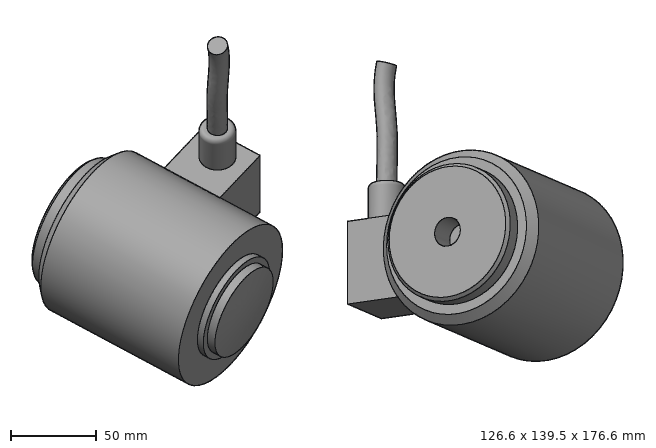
import cadquery as cq
import math

rear_boss_radius = 82.5 / 2
rear_boss_chamfer = 2.0
barrel_start = 10.6
barrel_end = 114.6
barrel_radius = 105.0 / 2
barrel_chamfer = 5.3
collar_radius = 66.8 / 2
collar_end = 118.9
button_radius = 58.6 / 2
button_rim = 124.3
dome_tip = 126.6
bore_radius = 17.3 / 2
bore_depth = 17.7

block_center_x = 53.9
block_length = 40.0
block_height = 50.0
block_inner_y = 46.0
block_outer_y = 139.5 - barrel_radius

gland_y = 72.0
gland_radius = 21.7 / 2
gland_height = 25.0
gland_fillet = 3.0
gland_base = block_height / 2
gland_top = gland_base + gland_height

cable_radius = 12.0 / 2
cable_end_tilt = math.radians(15.4)
cable_total_top = 176.6 - barrel_radius
cable_end_z = cable_total_top - cable_radius * math.sin(cable_end_tilt)
cable_bend_start_z = 84.5
cable_bend_peak_z = 107.5
cable_bend_offset = 1.8


def make_turned_body():
    """Revolve the stepped profile, including the domed load button."""
    dome_rise = dome_tip - button_rim
    dome_radius = (button_radius**2 + dome_rise**2) / (2 * dome_rise)
    dome_center_x = dome_tip - dome_radius
    dome_mid_r = button_radius / 2
    dome_mid_x = dome_center_x + math.sqrt(dome_radius**2 - dome_mid_r**2)
    return (
        cq.Workplane("XY")
        .lineTo(0, rear_boss_radius - rear_boss_chamfer)
        .lineTo(rear_boss_chamfer, rear_boss_radius)
        .lineTo(barrel_start, rear_boss_radius)
        .lineTo(barrel_start, barrel_radius - barrel_chamfer)
        .lineTo(barrel_start + barrel_chamfer, barrel_radius)
        .lineTo(barrel_end, barrel_radius)
        .lineTo(barrel_end, collar_radius)
        .lineTo(collar_end, collar_radius)
        .lineTo(collar_end, button_radius)
        .lineTo(button_rim, button_radius)
        .threePointArc((dome_mid_x, dome_mid_r), (dome_tip, 0))
        .close()
        .revolve(360, (0, 0, 0), (1, 0, 0))
    )


def make_block():
    """Box that sinks into the side of the barrel."""
    return cq.Workplane("XY").box(
        block_length, block_outer_y - block_inner_y, block_height
    ).translate((block_center_x, (block_outer_y + block_inner_y) / 2, 0))


def make_gland():
    """Upright cylinder with a rounded top edge."""
    return (
        cq.Workplane("XY", origin=(block_center_x, gland_y, gland_base))
        .circle(gland_radius)
        .extrude(gland_height)
        .faces(">Z")
        .edges()
        .fillet(gland_fillet)
    )


def make_housing():
    """Turned body, block and gland in one piece, with a blind rear bore."""
    bore = cq.Workplane("YZ").circle(bore_radius).extrude(bore_depth)
    return make_turned_body().union(make_block()).union(make_gland()).cut(bore)


def make_cable():
    """Round cable that starts on the gland's top face."""
    path = (
        cq.Workplane("YZ", origin=(block_center_x, 0, 0))
        .moveTo(gland_y, gland_top)
        .spline(
            [
                (gland_y, cable_bend_start_z),
                (gland_y + cable_bend_offset, cable_bend_peak_z),
                (gland_y, cable_end_z),
            ],
            tangents=[(0, 1), (-math.sin(cable_end_tilt), math.cos(cable_end_tilt))],
            includeCurrent=True,
        )
    )
    return (
        cq.Workplane("XY", origin=(block_center_x, gland_y, gland_top))
        .circle(cable_radius)
        .sweep(path)
    )


housing = make_housing()
cable = make_cable()
result = cq.Compound.makeCompound([housing.solids().val(), cable.val()])